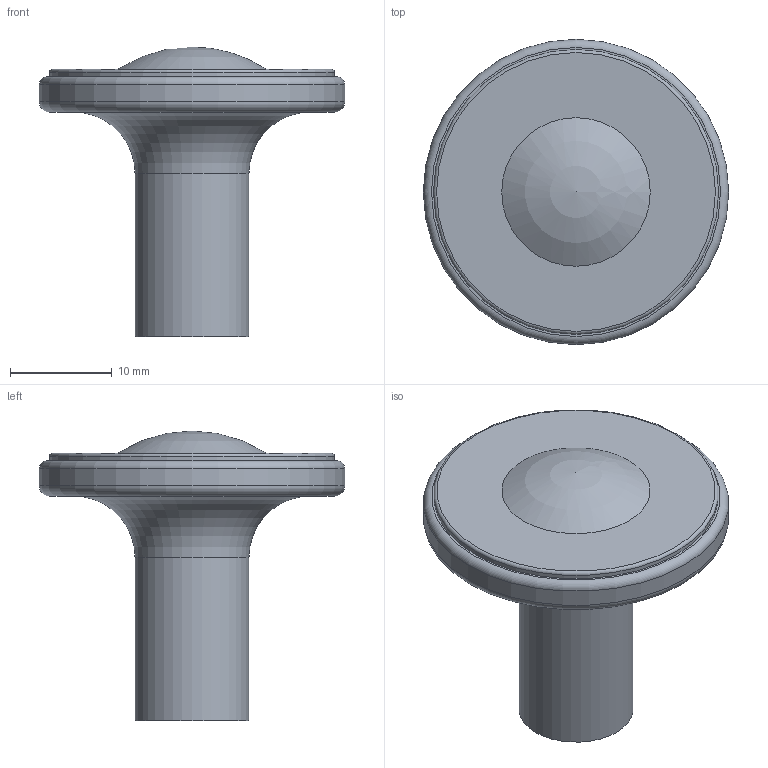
import cadquery as cq
import math

total_height = 28.5
flange_radius = 15.0

stem_radius = 5.6
stem_length = 16.1
flare_radius = 6.0

flange_thickness = 3.5
lower_rim_fillet = 1.0
upper_rim_fillet = 0.8

plate_radius = 14.0
plate_thickness = 0.7
plate_rim_fillet = 0.3

dome_base_radius = 7.3

flange_bottom = stem_length + flare_radius
flange_top = flange_bottom + flange_thickness
plate_top = flange_top + plate_thickness
dome_height = total_height - plate_top
dome_sphere_radius = (dome_base_radius**2 + dome_height**2) / (2 * dome_height)


def on_arc(center_r, center_z, radius, angle):
    """Point (r, z) on an arc, with the angle in degrees from the outward radial direction."""
    a = math.radians(angle)
    return (center_r + radius * math.cos(a), center_z + radius * math.sin(a))


def round_rim(profile, rim_radius, center_z, fillet, start_angle, end_angle):
    """Add a convex quarter round that touches the cylinder of rim_radius at center_z."""
    center_r = rim_radius - fillet
    middle = on_arc(center_r, center_z, fillet, (start_angle + end_angle) / 2)
    end = on_arc(center_r, center_z, fillet, end_angle)
    return profile.threePointArc(middle, end)


def stem_and_flare(profile):
    """Stem from its flat end up to the concave flare below the flange."""
    flare_center_r = stem_radius + flare_radius
    return (
        profile.lineTo(stem_radius, 0)
        .lineTo(stem_radius, stem_length)
        .threePointArc(
            on_arc(flare_center_r, stem_length, flare_radius, 135),
            (flare_center_r, flange_bottom),
        )
    )


def flange(profile):
    """Flange rim, rounded below and above."""
    lower_center_z = flange_bottom + lower_rim_fillet
    upper_center_z = flange_top - upper_rim_fillet
    profile = profile.lineTo(flange_radius - lower_rim_fillet, flange_bottom)
    profile = round_rim(profile, flange_radius, lower_center_z, lower_rim_fillet, -90, 0)
    profile = profile.lineTo(flange_radius, upper_center_z)
    return round_rim(profile, flange_radius, upper_center_z, upper_rim_fillet, 0, 90)


def plate(profile):
    """Thin plate with a rounded upper edge, set in slightly from the flange rim."""
    fillet_center_z = plate_top - plate_rim_fillet
    profile = profile.lineTo(plate_radius, flange_top).lineTo(plate_radius, fillet_center_z)
    return round_rim(profile, plate_radius, fillet_center_z, plate_rim_fillet, 0, 90)


def dome(profile):
    """Spherical cap ending on the axis."""
    sphere_center_z = total_height - dome_sphere_radius
    base_angle = math.degrees(math.acos(dome_base_radius / dome_sphere_radius))
    middle = on_arc(0, sphere_center_z, dome_sphere_radius, (base_angle + 90) / 2)
    return profile.lineTo(dome_base_radius, plate_top).threePointArc(middle, (0, total_height))


half_profile = cq.Workplane("XZ").moveTo(0, 0)
for add_section in (stem_and_flare, flange, plate, dome):
    half_profile = add_section(half_profile)

result = half_profile.close().revolve(360, (0, 0, 0), (0, 1, 0))